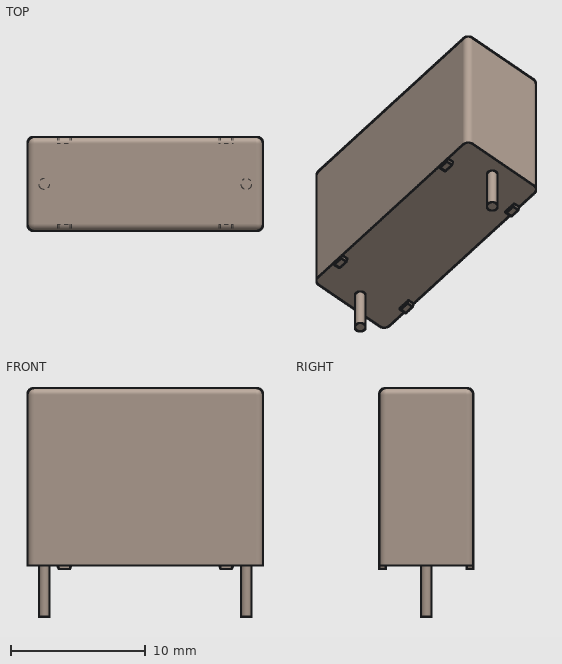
import cadquery as cq

HOUSING_LENGTH = 17.5
HOUSING_WIDTH = 7.0
OVERALL_HEIGHT = 17.0
EDGE_RADIUS = 0.5

PIN_DIAMETER = 0.8
PIN_LENGTH = 3.82
PIN_SPACING = 15.0

FOOT_TOP_LENGTH = 1.03
FOOT_BOTTOM_LENGTH = 0.8
FOOT_WIDTH = EDGE_RADIUS
FOOT_HEIGHT = 0.26
FOOT_SPACING = 12.0

HOUSING_HEIGHT = OVERALL_HEIGHT - PIN_LENGTH


def make_housing():
    """Box with rounded upright and top edges and a flat, sharp-edged underside."""
    box = cq.Workplane("XY").box(
        HOUSING_LENGTH, HOUSING_WIDTH, HOUSING_HEIGHT, centered=(True, True, False)
    )
    return box.edges("|Z or >Z").fillet(EDGE_RADIUS)


def make_pin(x):
    """Straight round pin hanging from the underside of the housing."""
    return cq.Workplane("XY").center(x, 0).circle(PIN_DIAMETER / 2).extrude(-PIN_LENGTH)


def make_foot(x, y):
    """Trapezoidal foot, narrower at the bottom, centred on (x, y) under the housing."""
    half_top = FOOT_TOP_LENGTH / 2
    half_bottom = FOOT_BOTTOM_LENGTH / 2
    profile = cq.Workplane("XZ").polyline([
        (-half_top, 0),
        (half_top, 0),
        (half_bottom, -FOOT_HEIGHT),
        (-half_bottom, -FOOT_HEIGHT),
    ]).close()
    return profile.extrude(FOOT_WIDTH / 2, both=True).translate((x, y, 0))


housing = make_housing()

pins = []
for side in (-1, 1):
    pins.append(make_pin(side * PIN_SPACING / 2))

foot_y = (HOUSING_WIDTH - FOOT_WIDTH) / 2
feet = []
for x_side in (-1, 1):
    for y_side in (-1, 1):
        feet.append(make_foot(x_side * FOOT_SPACING / 2, y_side * foot_y))

bodies = [housing, *pins, *feet]
result = cq.Compound.makeCompound([body.val() for body in bodies])